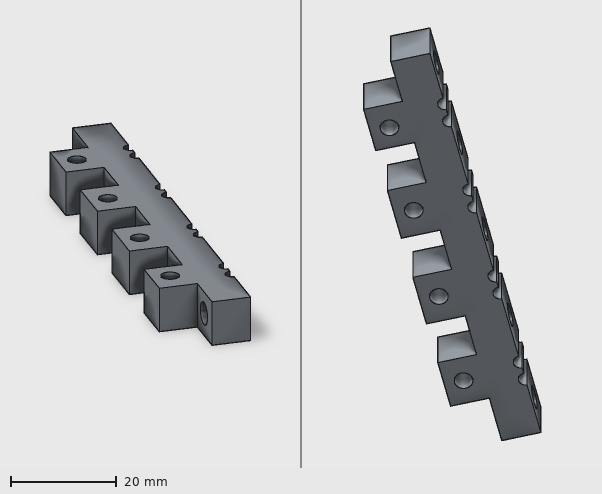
import cadquery as cq

length = 88.0
depth = 15.2
height = 9.0

tab_depth = 7.6
tab_spans = [(9.9, 20.0), (28.95, 39.8), (48.8, 59.9), (69.2, 78.8)]

tab_hole_diameter = 3.5
tab_hole_xs = [14.9, 34.4, 54.4, 73.6]

pitch = 20.0

cross_hole_diameter = 4.5
first_cross_hole_x = 5.3
middle_cross_hole_x = 44.35
last_cross_hole_x = 82.9
cross_hole_xs = [
    first_cross_hole_x,
    middle_cross_hole_x - pitch,
    middle_cross_hole_x,
    middle_cross_hole_x + pitch,
    last_cross_hole_x,
]

notch_diameter = 2.6
notch_spacing = 4.0
first_notch_x = 12.4
notch_pair_count = len(tab_spans)


def box(x_start, x_end, y_start, y_end):
    """Full-height block between the given X and Y limits."""
    return cq.Workplane("XY").box(
        x_end - x_start, y_end - y_start, height, centered=False
    ).translate((x_start, y_start, 0))


def vertical_cylinders(points, diameter):
    """Full-height cylinders standing at the given XY points."""
    return cq.Workplane("XY").pushPoints(points).circle(diameter / 2).extrude(height)


def cross_cylinders():
    """Cylinders along Y at mid height, passing through the bar."""
    points = [(x, height / 2) for x in cross_hole_xs]
    return cq.Workplane("XZ").pushPoints(points).circle(cross_hole_diameter / 2).extrude(-depth)


result = box(0, length, tab_depth, depth)
for left, right in tab_spans:
    result = result.union(box(left, right, 0, tab_depth))

tab_hole_points = [(x, tab_depth / 2) for x in tab_hole_xs]
result = result.cut(vertical_cylinders(tab_hole_points, tab_hole_diameter))
result = result.cut(cross_cylinders())

notch_points = [
    (first_notch_x + pair * pitch + side * notch_spacing, depth)
    for pair in range(notch_pair_count)
    for side in range(2)
]
result = result.cut(vertical_cylinders(notch_points, notch_diameter))